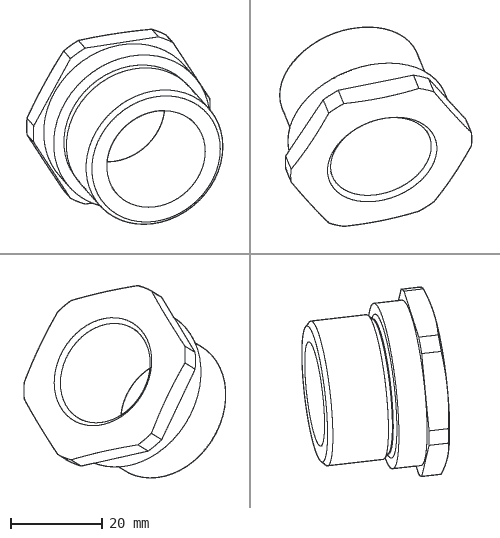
import cadquery as cq

total_length = 26.6
hex_length = 5.0
collar_end = 11.3
hex_across_flats = 37.6
corner_radius = 20.65
hex_face_radius = 18.5
hex_chamfer_depth = 0.65
collar_radius = 18.27
body_radius = 16.0
bore_radius = 11.5
edge_chamfer = 1.0

groove_depth = 1.07
collar_side_radius = 15.87
collar_side_length = 0.6
groove_floor_length = 0.2

groove_start = collar_end + collar_side_length
groove_end = groove_start + groove_floor_length
body_start = groove_end + groove_depth
groove_radius = body_radius - groove_depth
body_end_radius = body_radius - edge_chamfer


def revolve_profile(points):
    """Revolve a closed (x, radius) outline about the X axis."""
    outline = cq.Workplane("XY").polyline(points).close()
    return outline.revolve(360, (0, 0, 0), (1, 0, 0))


def hex_head():
    """Hexagon with flats facing +Z and -Z, turned round and chamfered at its corners."""
    across_corners = hex_across_flats / (3**0.5 / 2)
    prism = cq.Workplane("YZ").polygon(6, across_corners).extrude(hex_length)
    envelope = revolve_profile([
        (0, 0),
        (0, hex_face_radius),
        (hex_chamfer_depth, corner_radius),
        (hex_length, corner_radius),
        (hex_length, 0),
    ])
    return prism.intersect(envelope)


def shank():
    """Collar, relief groove and chamfered body."""
    return revolve_profile([
        (hex_length, 0),
        (hex_length, collar_radius),
        (collar_end, collar_radius),
        (collar_end, collar_side_radius),
        (groove_start, groove_radius),
        (groove_end, groove_radius),
        (body_start, body_radius),
        (total_length - edge_chamfer, body_radius),
        (total_length, body_end_radius),
        (total_length, 0),
    ])


def bore():
    """Through bore with a chamfered mouth in the hex face."""
    return revolve_profile([
        (0, 0),
        (0, bore_radius + edge_chamfer),
        (edge_chamfer, bore_radius),
        (total_length, bore_radius),
        (total_length, 0),
    ])


result = hex_head().union(shank()).cut(bore())